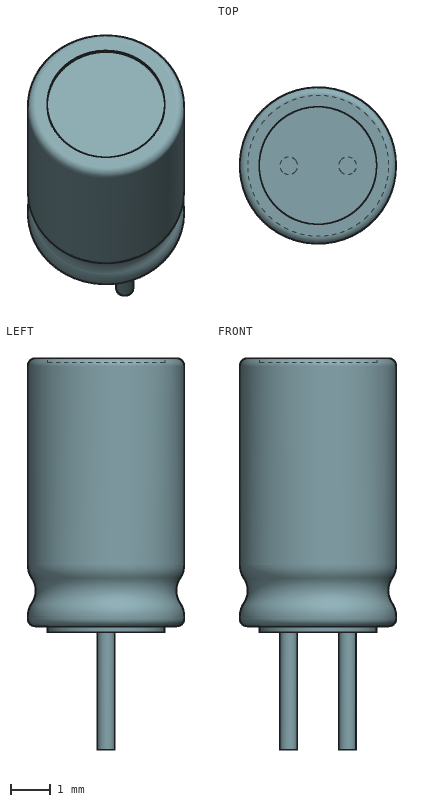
import cadquery as cq
import math

can_radius = 2.0
can_top = 7.0
can_bottom = 0.15
edge_radius = 0.2

neck_center_height = 1.065
neck_depth = 0.2
cone_height = 0.03
cone_slope = math.radians(32.5)

recess_radius = 1.5
recess_depth = 0.1
base_radius = 1.5

lead_diameter = 0.45
lead_pitch = 1.5
lead_length = 3.0

cone_inset = cone_height * math.tan(cone_slope)
arc_inset = (neck_depth - cone_inset) / 2
arc_radius = arc_inset / (1 - math.cos(cone_slope))
arc_height = arc_radius * math.sin(cone_slope)

waist_end_radius = can_radius - neck_depth + arc_inset
shoulder_end_radius = can_radius - arc_inset
waist_bottom = neck_center_height - arc_height
waist_top = neck_center_height + arc_height
lower_shoulder_end = waist_bottom - cone_height
upper_shoulder_end = waist_top + cone_height


def make_can():
    """Half profile of the can, drawn upwards from the bottom centre and revolved about Z."""
    profile = (
        cq.Workplane("XZ")
        .moveTo(0, can_bottom)
        .lineTo(can_radius - edge_radius, can_bottom)
        .radiusArc((can_radius, can_bottom + edge_radius), -edge_radius)
        .lineTo(can_radius, lower_shoulder_end - arc_height)
        .radiusArc((shoulder_end_radius, lower_shoulder_end), -arc_radius)
        .lineTo(waist_end_radius, waist_bottom)
        .radiusArc((waist_end_radius, waist_top), arc_radius)
        .lineTo(shoulder_end_radius, upper_shoulder_end)
        .radiusArc((can_radius, upper_shoulder_end + arc_height), -arc_radius)
        .lineTo(can_radius, can_top - edge_radius)
        .radiusArc((can_radius - edge_radius, can_top), -edge_radius)
        .lineTo(recess_radius, can_top)
        .lineTo(recess_radius, can_top - recess_depth)
        .lineTo(0, can_top - recess_depth)
        .close()
    )
    return profile.revolve(360, (0, 0, 0), (0, 1, 0))


def make_base():
    """Disc under the can, with its lower face at Z = 0."""
    return cq.Workplane("XY").circle(base_radius).extrude(can_bottom)


def make_leads():
    """Two round wires hanging from the base, spaced along X."""
    return (
        cq.Workplane("XY")
        .pushPoints([(-lead_pitch / 2, 0), (lead_pitch / 2, 0)])
        .circle(lead_diameter / 2)
        .extrude(-lead_length)
    )


result = make_can().union(make_base()).union(make_leads())